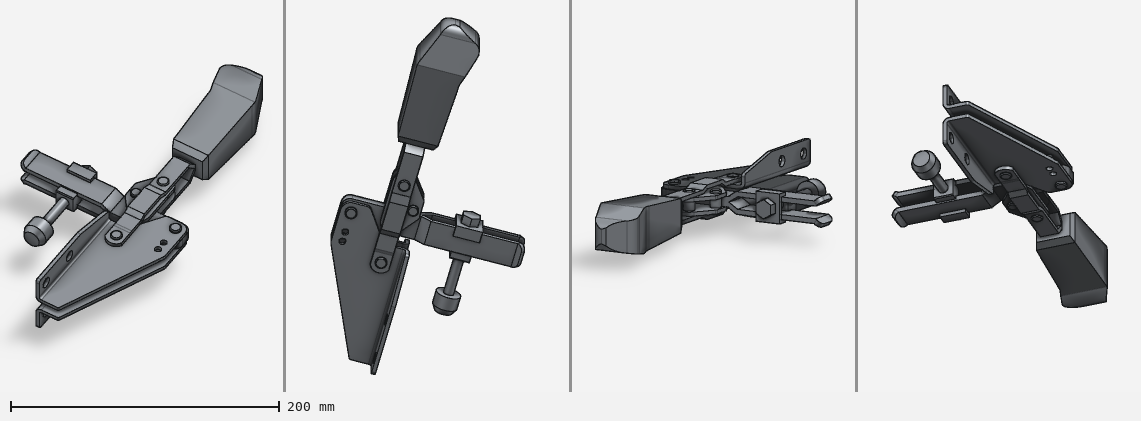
import cadquery as cq
import math


SHEET = 3.0
ARM_SHEET = 4.0
BASE_INNER = ARM_SHEET
BASE_OUTER = BASE_INNER + SHEET
TOTAL_HEIGHT = 280.5
OUTER_X = 58.3

LEVER_X = 18.2
ARM_PIVOT = (50.2, 114.5)
BASE_PIVOT = (LEVER_X, 82.7)
LINK_PIVOT = (LEVER_X, 147.3)
STOP_PIN = (6.2, 128.5)
RIVET_RADIUS = 4.5
STOP_RADIUS = 4.2
HEAD_CHAMFER = 0.8
LOW_HEAD = 9.3
HIGH_HEAD = 11.5

BASE_DEPTH = 52.0
FLANGE_REACH = BASE_DEPTH / 2
FLANGE_TOP = 96.2
FLANGE_TOP_REACH = 15.7
TAPER_START = 57.2
FLANGE_CORNER = 2.5
BEND_INNER = 2.0
BEND_OUTER = BEND_INNER + SHEET
MOUNT_HOLE_RADIUS = 4.2
MOUNT_HOLE_Z = 16.0
MOUNT_HOLES_Y = (9.8, 41.8)
PLATE_TOP = 122.3
PLATE_FOOT_X = 20.0
PLATE_REAR_Y = 87.0
PLATE_SLOPE_TOP_X = 37.5
PLATE_CORNER = 7.5
PLATE_CREST_FILLET = 4.5
PLATE_FOOT_FILLET = 2.0
PLATE_REAR_FILLET = 4.5
SMALL_HOLE_RADIUS = 2.5
SMALL_HOLES_Y = (90.3, 98.2)

ARM_WIDTH = 19.4
ARM_GAP = 4.8
ARM_TIP_X = -82.5
ARM_TIP_RISE = 4.0
ARM_TIP_BEND_X = -77.5
ARM_SPREAD_X = (-10.0, -2.5)
ARM_REAR_CORNER = 6.5
ARM_TIP_CORNER = 5.0

LINK_RADIUS = 9.0
LINK_LEFT_CORNERS = (123.0, 137.5)
LINK_CORNER_FILLET = 2.8

LEVER_WIDTH = 14.5
LEVER_END_RADIUS = 8.5
LEVER_CLEARANCE = 0.3
LEVER_INNER = BASE_OUTER + LEVER_CLEARANCE
LEVER_BULGE = 2.8
FORK_Y = 179.0
FORK_END_Y = 172.0
BULGE_TOP_Y = (138.8, 132.0)
BULGE_BOTTOM_Y = (110.8, 106.3)
FOOT_STEP_Y = (92.8, 90.5)

GRIP_BOTTOM = 180.5
GRIP_SHOULDER = 185.7
GRIP_KNEE = 246.5
GRIP_CROWN = 272.6
GRIP_END_X = (5.0, 31.7)
GRIP_SHOULDER_X = (2.8, 33.7)
GRIP_REAR_X = 35.5
GRIP_KNEE_ARC = ((GRIP_REAR_X, 242.4), (GRIP_REAR_X, GRIP_KNEE), (34.5, 250.2))
GRIP_NECK_ARC = ((0.5, 240.7), (1.0, 238.1), (1.0, 235.3))
GRIP_TIP_ARC = ((20.8, 278.8), (15.5, TOTAL_HEIGHT))
GRIP_TIP_LEFT = (11.8, 280.0)
GRIP_NOSE_ARC = ((-5.5, 269.3), (-6.7, 264.8))
GRIP_NOSE_END = (-6.0, 261.1)
GRIP_TIP_ROUNDING = (277.7, 9.8)
GRIP_CROWN_X = (-2.0, 25.0)
GRIP_END_Z = 9.8
GRIP_SHOULDER_Z = 13.2
GRIP_KNEE_Z = 17.5
GRIP_CROWN_Z = 12.3
GRIP_TIP_Z = 5.5

SPINDLE_X = -38.0
ROD_RADIUS = 4.0
NUT_LENGTH = 15.5
NUT_DEPTH = 6.2
NUT_CHAMFER = 0.8
NUT_HALF_WIDTH = 7.3
TONGUE_DEPTH = 5.5
PAD_RADIUS = 9.5
PAD_TIP_RADIUS = 6.7
PAD_TOP = 68.5
PAD_EDGE = 58.0
PAD_TIP = 53.3
HEX_FLATS = 13.0
HEX_HEIGHT = 6.7
SADDLE_LENGTH = 20.5
SADDLE_SHEET = 2.8
SADDLE_LEG = 6.0

ARM_TOP = ARM_PIVOT[1] + ARM_WIDTH / 2
ARM_BOTTOM = ARM_PIVOT[1] - ARM_WIDTH / 2
ARM_OUTER = ARM_GAP + ARM_SHEET


def strip_outline(path, thickness):
    """Closed outline of a bent sheet: the path is one face, the other lies to its right."""
    normals = []
    for (u0, v0), (u1, v1) in zip(path, path[1:]):
        length = math.hypot(u1 - u0, v1 - v0)
        normals.append(((v1 - v0) / length, (u0 - u1) / length))
    before = [normals[0]] + normals
    after = normals + [normals[-1]]
    offset = []
    for (u, v), (nu, nv), (mu, mv) in zip(path, before, after):
        scale = thickness / (1 + nu * mu + nv * mv)
        offset.append((u + (nu + mu) * scale, v + (nv + mv) * scale))
    return path + offset[::-1]


def mirrored(solid):
    """The solid together with its mirror image below Z = 0."""
    return solid.union(solid.mirror("XY"))


def near(point):
    """Selector for the edge nearest to a point."""
    return cq.selectors.NearestToPointSelector(point)


def disc(center, radius, half_height):
    """Cylinder along Z, symmetric about Z = 0."""
    base_plane = cq.Workplane("XY", origin=(*center, -half_height))
    return base_plane.circle(radius).extrude(2 * half_height)


def rivet(center, radius, half_height):
    """Rivet across the clamp with chamfered heads."""
    return disc(center, radius, half_height).faces("|Z").edges().chamfer(HEAD_CHAMFER)


def y_cylinder(radius, bottom, top):
    """Cylinder on the spindle axis between two heights."""
    plane = cq.Plane(origin=(SPINDLE_X, bottom, 0), xDir=(1, 0, 0), normal=(0, 1, 0))
    return cq.Workplane(plane).circle(radius).extrude(top - bottom)


def block(x_size, bottom, top, half_z):
    """Block centred on the spindle axis between two heights."""
    middle = (bottom + top) / 2
    return cq.Workplane("XY").box(x_size, top - bottom, 2 * half_z).translate((SPINDLE_X, middle, 0))


def make_angle_plate():
    section = (
        cq.Workplane("XZ")
        .moveTo(0, BASE_INNER)
        .lineTo(OUTER_X, BASE_INNER)
        .lineTo(OUTER_X, BASE_OUTER)
        .lineTo(SHEET, BASE_OUTER)
        .lineTo(SHEET, FLANGE_REACH)
        .lineTo(0, FLANGE_REACH)
        .close()
        .extrude(-PLATE_TOP)
    )
    section = section.edges(near((0, PLATE_TOP / 2, BASE_INNER))).fillet(BEND_OUTER)
    section = section.edges(near((SHEET, PLATE_TOP / 2, BASE_OUTER))).fillet(BEND_INNER)

    plan = (
        cq.Workplane("XY")
        .polyline([
            (0, 0),
            (PLATE_FOOT_X, 0),
            (OUTER_X, PLATE_REAR_Y),
            (OUTER_X, PLATE_TOP),
            (PLATE_SLOPE_TOP_X, PLATE_TOP),
            (PLATE_FOOT_X, FLANGE_TOP),
            (0, FLANGE_TOP),
        ])
        .close()
        .extrude(FLANGE_REACH)
    )
    plan = plan.edges("|Z").edges(">X and >Y").fillet(PLATE_CORNER)
    for corner, radius in (
        ((PLATE_SLOPE_TOP_X, PLATE_TOP), PLATE_CREST_FILLET),
        ((PLATE_FOOT_X, 0), PLATE_FOOT_FILLET),
        ((OUTER_X, PLATE_REAR_Y), PLATE_REAR_FILLET),
    ):
        plan = plan.edges("|Z").edges(near((*corner, FLANGE_REACH / 2))).fillet(radius)

    taper = (
        cq.Workplane("YZ")
        .polyline([
            (0, 0),
            (0, FLANGE_REACH),
            (TAPER_START, FLANGE_REACH),
            (FLANGE_TOP, FLANGE_TOP_REACH),
            (FLANGE_TOP, BASE_OUTER),
            (PLATE_TOP, BASE_OUTER),
            (PLATE_TOP, 0),
        ])
        .close()
        .extrude(OUTER_X)
    )
    for corner in ((0, FLANGE_REACH), (FLANGE_TOP, FLANGE_TOP_REACH)):
        taper = taper.edges("|X").edges(near((OUTER_X / 2, *corner))).fillet(FLANGE_CORNER)

    mount_holes = (
        cq.Workplane("YZ")
        .pushPoints([(y, MOUNT_HOLE_Z) for y in MOUNT_HOLES_Y])
        .circle(MOUNT_HOLE_RADIUS)
        .extrude(SHEET)
    )
    plate = section.intersect(plan).intersect(taper).cut(mount_holes)
    for y in SMALL_HOLES_Y:
        plate = plate.cut(disc((ARM_PIVOT[0], y), SMALL_HOLE_RADIUS, FLANGE_REACH))
    return plate


def make_base():
    base = mirrored(make_angle_plate())
    base = base.union(rivet(ARM_PIVOT, RIVET_RADIUS, LOW_HEAD))
    base = base.union(disc(BASE_PIVOT, LEVER_WIDTH / 2, BASE_INNER))
    return base.union(rivet(BASE_PIVOT, RIVET_RADIUS, HIGH_HEAD))


def make_arm():
    spread_end, spread_start = ARM_SPREAD_X
    face = [
        (OUTER_X, 0),
        (spread_start, 0),
        (spread_end, ARM_GAP),
        (ARM_TIP_BEND_X, ARM_GAP),
        (ARM_TIP_X, ARM_GAP + ARM_TIP_RISE),
    ]
    sheet = (
        cq.Workplane("XZ", origin=(0, ARM_PIVOT[1], 0))
        .polyline(strip_outline(face, ARM_SHEET))
        .close()
        .extrude(ARM_WIDTH / 2, both=True)
    )
    sheet = sheet.edges("|Z and >X").fillet(ARM_REAR_CORNER)
    tip_x, tip_z = face[-1]
    for y in (ARM_BOTTOM, ARM_TOP):
        sheet = sheet.edges(near((tip_x, y, tip_z))).fillet(ARM_TIP_CORNER)
    return mirrored(sheet).cut(disc(ARM_PIVOT, RIVET_RADIUS, FLANGE_REACH))


def tangent_point(corner, center, side):
    """Point where the line from the corner touches the link end arc; side is +1 or -1."""
    dx = corner[0] - center[0]
    dy = corner[1] - center[1]
    angle = math.atan2(dy, dx) + side * math.acos(LINK_RADIUS / math.hypot(dx, dy))
    return (center[0] + LINK_RADIUS * math.cos(angle), center[1] + LINK_RADIUS * math.sin(angle))


def make_link():
    top_center = LINK_PIVOT
    low_center = (LEVER_X, ARM_PIVOT[1])
    low_corner, top_corner = [(0, y) for y in LINK_LEFT_CORNERS]
    right = LEVER_X + LINK_RADIUS
    plate = (
        cq.Workplane("XY", origin=(0, 0, BASE_INNER))
        .moveTo(*low_corner)
        .lineTo(*top_corner)
        .lineTo(*tangent_point(top_corner, top_center, -1))
        .threePointArc((LEVER_X, top_center[1] + LINK_RADIUS), (right, top_center[1]))
        .lineTo(right, low_center[1])
        .threePointArc((LEVER_X, low_center[1] - LINK_RADIUS), tangent_point(low_corner, low_center, 1))
        .close()
        .extrude(SHEET)
    )
    plate = plate.edges("|Z and <X").fillet(LINK_CORNER_FILLET)
    link = mirrored(plate)
    link = link.union(rivet(LINK_PIVOT, RIVET_RADIUS, HIGH_HEAD))
    return link.union(rivet(STOP_PIN, STOP_RADIUS, LOW_HEAD))


def make_lever():
    foot_y = BASE_PIVOT[1] - LEVER_END_RADIUS
    half_width = LEVER_WIDTH / 2
    shoulder_y = BASE_PIVOT[1] - math.sqrt(LEVER_END_RADIUS**2 - half_width**2)
    bulge = LEVER_INNER + LEVER_BULGE
    face = [
        (GRIP_BOTTOM, 0),
        (FORK_Y, 0),
        (FORK_END_Y, LEVER_INNER),
        (BULGE_TOP_Y[0], LEVER_INNER),
        (BULGE_TOP_Y[1], bulge),
        (BULGE_BOTTOM_Y[0], bulge),
        (BULGE_BOTTOM_Y[1], LEVER_INNER),
        (FOOT_STEP_Y[0], LEVER_INNER),
        (FOOT_STEP_Y[1], BASE_OUTER),
        (foot_y, BASE_OUTER),
    ]
    leg = (
        cq.Workplane("YZ", origin=(LEVER_X, 0, 0))
        .polyline(strip_outline(face, SHEET))
        .close()
        .extrude(half_width, both=True)
    )
    plan = (
        cq.Workplane("XY")
        .moveTo(LEVER_X - half_width, shoulder_y)
        .threePointArc((LEVER_X, foot_y), (LEVER_X + half_width, shoulder_y))
        .lineTo(LEVER_X + half_width, GRIP_BOTTOM)
        .lineTo(LEVER_X - half_width, GRIP_BOTTOM)
        .close()
        .extrude(FLANGE_REACH, both=True)
    )
    lever = mirrored(leg).intersect(plan)
    for pivot in (BASE_PIVOT, LINK_PIVOT):
        lever = lever.cut(disc(pivot, RIVET_RADIUS, FLANGE_REACH))
    return lever


def make_grip():
    plan = (
        cq.Workplane("XY")
        .moveTo(GRIP_END_X[0], GRIP_BOTTOM)
        .lineTo(GRIP_END_X[1], GRIP_BOTTOM)
        .lineTo(GRIP_SHOULDER_X[1], GRIP_SHOULDER)
        .lineTo(*GRIP_KNEE_ARC[0])
        .threePointArc(*GRIP_KNEE_ARC[1:])
        .lineTo(GRIP_CROWN_X[1], GRIP_CROWN)
        .threePointArc(*GRIP_TIP_ARC)
        .lineTo(*GRIP_TIP_LEFT)
        .lineTo(GRIP_CROWN_X[0], GRIP_CROWN)
        .threePointArc(*GRIP_NOSE_ARC)
        .lineTo(*GRIP_NOSE_END)
        .lineTo(*GRIP_NECK_ARC[0])
        .threePointArc(*GRIP_NECK_ARC[1:])
        .lineTo(GRIP_SHOULDER_X[0], GRIP_SHOULDER)
        .close()
        .extrude(FLANGE_REACH, both=True)
    )
    side = (
        cq.Workplane("YZ", origin=(LEVER_X, 0, 0))
        .moveTo(GRIP_BOTTOM, 0)
        .lineTo(GRIP_BOTTOM, GRIP_END_Z)
        .lineTo(GRIP_SHOULDER, GRIP_SHOULDER_Z)
        .lineTo(GRIP_KNEE, GRIP_KNEE_Z)
        .lineTo(GRIP_CROWN, GRIP_CROWN_Z)
        .threePointArc(GRIP_TIP_ROUNDING, (TOTAL_HEIGHT, GRIP_TIP_Z))
        .lineTo(TOTAL_HEIGHT, 0)
        .close()
        .extrude(OUTER_X, both=True)
    )
    return plan.intersect(mirrored(side))


def make_spindle():
    head_bottom = ARM_TOP + SADDLE_SHEET
    spindle = y_cylinder(ROD_RADIUS, PAD_EDGE, head_bottom)
    head_plane = cq.Plane(origin=(SPINDLE_X, head_bottom, 0), xDir=(0, 0, 1), normal=(0, 1, 0))
    corners = HEX_FLATS / math.cos(math.pi / 6)
    spindle = spindle.union(cq.Workplane(head_plane).polygon(6, corners).extrude(HEX_HEIGHT))
    nut = block(NUT_LENGTH, ARM_BOTTOM - NUT_DEPTH, ARM_BOTTOM, NUT_HALF_WIDTH)
    spindle = spindle.union(nut.edges("|X and <Y").chamfer(NUT_CHAMFER))
    spindle = spindle.union(block(NUT_LENGTH, ARM_BOTTOM, ARM_BOTTOM + TONGUE_DEPTH, ARM_GAP))
    pad = (
        cq.Workplane("XY")
        .polyline([
            (0, PAD_TIP),
            (PAD_TIP_RADIUS, PAD_TIP),
            (PAD_RADIUS, PAD_EDGE),
            (PAD_RADIUS, PAD_TOP),
            (0, PAD_TOP),
        ])
        .close()
        .revolve(360, (0, 0), (0, 1))
        .translate((SPINDLE_X, 0, 0))
    )
    return spindle.union(pad)


def make_saddle():
    top = ARM_TOP + SADDLE_SHEET
    saddle = block(SADDLE_LENGTH, ARM_TOP - SADDLE_LEG, top, ARM_OUTER + SADDLE_SHEET)
    saddle = saddle.cut(block(SADDLE_LENGTH, ARM_TOP - SADDLE_LEG, ARM_TOP, ARM_OUTER))
    return saddle.cut(y_cylinder(ROD_RADIUS, ARM_TOP, top))


base = make_base()
arm = make_arm()
link = make_link()
lever = make_lever()
grip = make_grip()
spindle = make_spindle()
saddle = make_saddle()

result = cq.Compound.makeCompound([
    base.val(),
    arm.val(),
    link.val(),
    lever.val(),
    grip.val(),
    spindle.val(),
    saddle.val(),
])